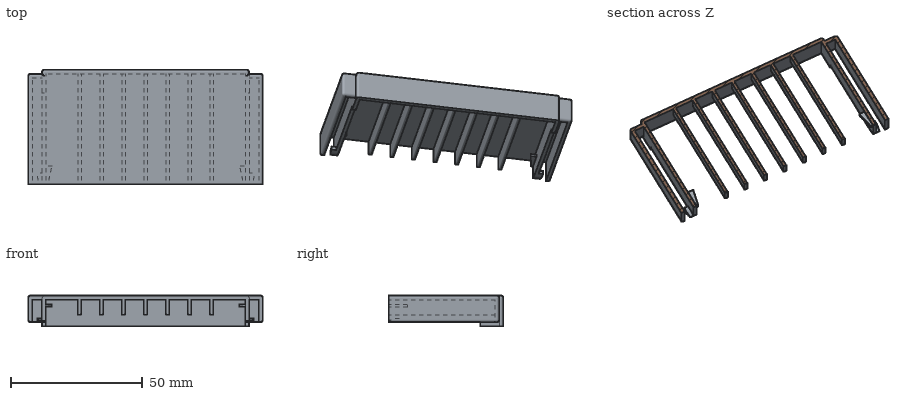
import cadquery as cq
import math

width = 89.5
depth = 43.8
height = 11.8

wall = 1.6
step = 1.6
edge_radius = 1.0
inner_wall_outside = 39.5
inner_wall_thickness = 1.4
tab_length = 8.9

side_depth = depth - step
side_floor = step
ceiling = height - wall
inner_wall_inside = inner_wall_outside - inner_wall_thickness
side_wall_inside = width / 2 - wall

rib_count = 7
rib_pitch = 8.4
rib_thickness = 1.3
rib_bottom = 4.4
rib_edge_radius = 0.45

lead_in_height = 0.6
lead_in_length = 2.5

lower_lug_reach = 1.7
lower_lug_nose_reach = 1.3
lower_lug_length = 4.5
lower_lug_height = 1.4
lower_lug_nose_height = 0.8

upper_lug_bottom = 7.4
upper_lug_height = 1.0
upper_lug_reach = 2.2
upper_lug_nose_radius = 0.9
upper_lug_ramp_angle = 78


def box(x_min, x_max, y_min, y_max, z_min, z_max):
    """Axis-aligned block between the given limits."""
    size = (x_max - x_min, y_max - y_min, z_max - z_min)
    return cq.Workplane("XY").box(*size, centered=False).translate((x_min, y_min, z_min))


def both_sides(solid):
    """The solid together with its mirror image across the centre plane."""
    return solid.union(solid.mirror("YZ"))


def make_side_block():
    """Full-width block, rounded everywhere except on the front face."""
    block = box(-width / 2, width / 2, 0, side_depth, side_floor, height)
    return block.edges("not <Y").fillet(edge_radius)


def make_middle_block():
    """Block standing out at the rear, rounded at its rear corners and top edges."""
    block = box(-inner_wall_outside, inner_wall_outside, 0, depth, side_floor, height)
    tab = box(-inner_wall_outside, inner_wall_outside, depth - tab_length, depth, 0, side_floor)
    block = block.union(tab).clean()
    return block.edges("(>Y and |Z) or (>Z and (not <Y))").fillet(edge_radius)


def make_pockets():
    """Central bay and the two narrow side bays, all open at the front and below."""
    central = box(-inner_wall_inside, inner_wall_inside, 0, depth - wall, 0, ceiling)
    side = box(inner_wall_outside, side_wall_inside, 0, side_depth - wall, 0, ceiling)
    return central.union(both_sides(side))


def make_rib(x_centre):
    """Rib with rounded lower edges, running from the front to the rear wall."""
    half = rib_thickness / 2
    rib = box(x_centre - half, x_centre + half, 0, depth - wall, rib_bottom, ceiling)
    return rib.edges("|Y and <Z").fillet(rib_edge_radius)


def make_lead_in():
    """Wedge removed below the front end of the right inner wall and its lower lug."""
    wedge = (
        cq.Workplane("YZ")
        .moveTo(0, side_floor)
        .lineTo(lead_in_length, side_floor)
        .lineTo(0, side_floor + lead_in_height)
        .close()
    )
    return wedge.extrude(side_wall_inside).intersect(
        box(inner_wall_inside, side_wall_inside, 0, lead_in_length, 0, ceiling)
    )


def make_lower_lug():
    """Lug on the outside of the right inner wall: ramped on top and tapered in plan."""
    outline = (
        cq.Workplane("XY")
        .moveTo(inner_wall_outside, 0)
        .lineTo(inner_wall_outside + lower_lug_nose_reach, 0)
        .lineTo(inner_wall_outside + lower_lug_reach, lead_in_length)
        .lineTo(inner_wall_outside + lower_lug_reach, lower_lug_length)
        .lineTo(inner_wall_outside, lower_lug_length)
        .close()
        .extrude(height)
    )
    profile = (
        cq.Workplane("YZ")
        .moveTo(0, side_floor)
        .lineTo(0, side_floor + lower_lug_nose_height)
        .lineTo(lead_in_length, side_floor + lower_lug_height)
        .lineTo(lower_lug_length, side_floor + lower_lug_height)
        .lineTo(lower_lug_length, side_floor)
        .close()
        .extrude(width / 2)
    )
    return outline.intersect(profile)


def make_upper_lug():
    """Lug on the inside of the right inner wall: rounded nose running into a long ramp."""

    def nose_point(angle):
        """Point on the nose arc where its tangent makes this angle with the front plane."""
        radians = math.radians(angle)
        x = inner_wall_inside - upper_lug_nose_radius * math.sin(radians)
        y = upper_lug_nose_radius * (1 - math.cos(radians))
        return x, y

    nose_end_x, nose_end_y = nose_point(upper_lug_ramp_angle)
    tip_x = inner_wall_inside - upper_lug_reach
    tip_y = nose_end_y + (nose_end_x - tip_x) * math.tan(math.radians(upper_lug_ramp_angle))
    return (
        cq.Workplane("XY", origin=(0, 0, upper_lug_bottom))
        .moveTo(inner_wall_inside, 0)
        .threePointArc(nose_point(upper_lug_ramp_angle / 2), (nose_end_x, nose_end_y))
        .lineTo(tip_x, tip_y)
        .lineTo(inner_wall_inside, tip_y)
        .close()
        .extrude(upper_lug_height)
    )


result = make_side_block().union(make_middle_block()).cut(make_pockets())

for index in range(rib_count):
    result = result.union(make_rib((index - (rib_count - 1) / 2) * rib_pitch))

result = result.union(both_sides(make_lower_lug()))
result = result.union(both_sides(make_upper_lug()))
result = result.cut(both_sides(make_lead_in()))